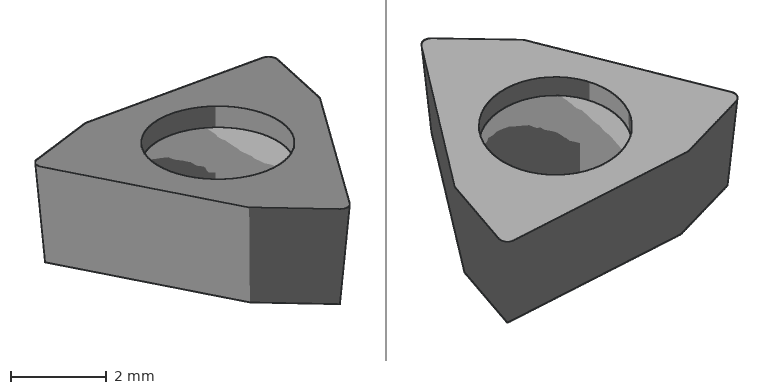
import cadquery as cq
import math

height = 2.38
clearance_angle = 5.0
inscribed_radius = 2.38
nose_reach = 3.015
short_side_angle = 20.0

mouth_radius = 1.6
mouth_depth = 0.505
bore_radius = 1.15
seat_round = 0.98

lower_corner_radius = 0.0035
corner_radius = height * math.tan(math.radians(clearance_angle)) + lower_corner_radius


def rotated(point, degrees):
    """Turn a point about the insert's axis."""
    angle = math.radians(degrees)
    x, y = point
    return (
        x * math.cos(angle) - y * math.sin(angle),
        x * math.sin(angle) + y * math.cos(angle),
    )


def sharp_outline():
    """Six corners which, grown by the corner radius, give the top face."""
    side_distance = inscribed_radius - corner_radius
    nose = (-nose_reach, -side_distance)
    next_nose = rotated(nose, 120)
    nose_rise = next_nose[1] + side_distance
    bend_x = next_nose[0] - nose_rise / math.tan(math.radians(short_side_angle))
    bend = (bend_x, -side_distance)
    corners = []
    for turn in (0, 120, 240):
        corners.append(rotated(nose, turn))
        corners.append(rotated(bend, turn))
    return corners


def make_body():
    return (
        cq.Workplane("XY")
        .workplane(offset=height)
        .polyline(sharp_outline())
        .close()
        .offset2D(corner_radius, "arc")
        .extrude(-height, taper=clearance_angle)
    )


def make_hole():
    """Revolved cutter whose convex seat runs tangent into the bore."""
    arc_centre_radius = bore_radius + seat_round
    seat_angle = math.acos((arc_centre_radius - mouth_radius) / seat_round)
    seat_top = height - mouth_depth
    seat_bottom = seat_top - seat_round * math.sin(seat_angle)
    seat_middle = (
        arc_centre_radius - seat_round * math.cos(seat_angle / 2),
        seat_bottom + seat_round * math.sin(seat_angle / 2),
    )
    return (
        cq.Workplane("XZ")
        .moveTo(0, 0)
        .lineTo(bore_radius, 0)
        .lineTo(bore_radius, seat_bottom)
        .threePointArc(seat_middle, (mouth_radius, seat_top))
        .lineTo(mouth_radius, height)
        .lineTo(0, height)
        .close()
        .revolve(360, (0, 0, 0), (0, 1, 0))
    )


result = make_body().cut(make_hole())